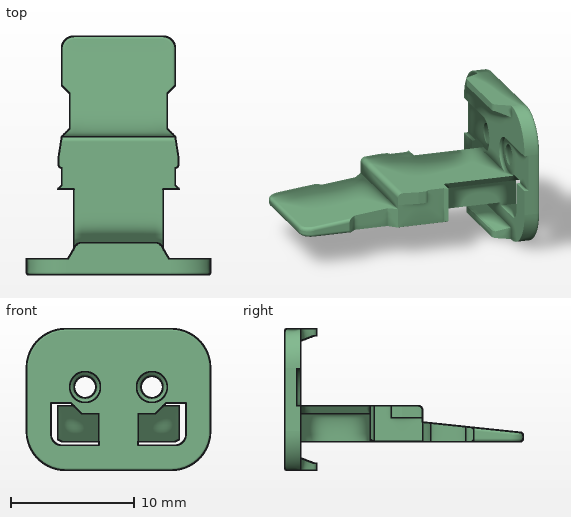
import cadquery as cq
import math

PLATE_WIDTH = 14.95
PLATE_HEIGHT = 11.5
PLATE_THICKNESS = 1.31
PLATE_CORNER_RADIUS = 3.2
PLATE_EDGE_RADIUS = 0.2

HOLE_X = 2.71
HOLE_Z = 1.01
HOLE_RADIUS = 0.87
COUNTERSINK_RADIUS = 1.25
COUNTERSINK_DEPTH = COUNTERSINK_RADIUS - HOLE_RADIUS
SLOT_RADIUS = 1.5
SLOT_DEPTH = 0.33

LUG_END_Y = 2.6
LUG_BASE_HALF_WIDTH = 4.1
LUG_SIDE_ANGLE = 30
LUG_CORNER_RADIUS = 0.6
LUG_TIP_HEIGHT = 0.58
LUG_ROOT_HEIGHT = 1.0
LUG_FLAT_LENGTH = 0.2

ARM_TOP_Z = HOLE_Z - SLOT_RADIUS
ARM_BOTTOM_Z = -3.43

FLANGE_HALF_WIDTH = 3.65
FLANGE_HEIGHT = 0.65
WEB_HALF_WIDTH = 1.6
FLANGE_UNDER_HALF_WIDTH = FLANGE_HALF_WIDTH - FLANGE_HEIGHT
FLANGE_UNDER_Z = ARM_TOP_Z - FLANGE_HEIGHT

WINDOW_TOP_Z = -0.3
WINDOW_BOTTOM_Z = -3.7
WINDOW_OUTER_X = 5.46
WINDOW_CORNER_RADIUS = 0.85

BLOCK_HALF_WIDTH = 4.62
BLOCK_START_Y = 6.94
BLOCK_END_Y = 11.19
BLOCK_TOP_EDGE_RADIUS = 0.4
BARB_REACH = 0.31
BARB_HALF_WIDTH = BLOCK_HALF_WIDTH + BARB_REACH
BARB_CHAMFER_WIDTH = 0.36
BARB_CHAMFER_HEIGHT = 0.18
RIDGE_HALF_WIDTH = 4.88
RIDGE_HEIGHT = 1.0
RIDGE_START_Y = 8.65
RIDGE_CREST_END_Y = 9.5
RIDGE_STEP_ANGLE = 15
RIDGE_CREST_RADIUS = 0.3

TONGUE_END_Y = 19.35
TONGUE_ROOT_Z = -1.83
TONGUE_TAPER_ANGLE = 6
NECK_HALF_WIDTH = 3.96
NECK_INSET = BLOCK_HALF_WIDTH - NECK_HALF_WIDTH
HEAD_START_Y = 15.35
HEAD_CORNER_RADIUS = 1.0
HEAD_EDGE_RADIUS = 0.27


def both_sides(solid):
    """The solid together with its mirror image across x = 0."""
    return solid.union(solid.mirror("YZ"))


def extrude_y(outline, start_y, end_y):
    """Closed (x, z) outline extruded from start_y to end_y."""
    plane = cq.Workplane("XZ", origin=(0, start_y, 0))
    return plane.polyline(outline).close().extrude(start_y - end_y)


def extrude_z(outline, bottom_z, top_z):
    """Closed (x, y) outline extruded from bottom_z to top_z."""
    plane = cq.Workplane("XY", origin=(0, 0, bottom_z))
    return plane.polyline(outline).close().extrude(top_z - bottom_z)


def mirrored_outline(right_side):
    """Outline made of the right-hand points and their mirror images."""
    return right_side + [(-x, v) for x, v in reversed(right_side)]


def make_plate():
    plate = cq.Workplane("XZ").rect(PLATE_WIDTH, PLATE_HEIGHT).extrude(-PLATE_THICKNESS)
    plate = plate.edges("|Y").fillet(PLATE_CORNER_RADIUS)
    return plate.faces("<Y").edges().fillet(PLATE_EDGE_RADIUS)


def make_top_lug():
    top_z = PLATE_HEIGHT / 2
    taper = (LUG_END_Y - PLATE_THICKNESS) * math.tan(math.radians(LUG_SIDE_ANGLE))
    plan = extrude_z(
        mirrored_outline([
            (LUG_BASE_HALF_WIDTH, PLATE_THICKNESS),
            (LUG_BASE_HALF_WIDTH - taper, LUG_END_Y),
        ]),
        top_z - LUG_ROOT_HEIGHT,
        top_z,
    )
    plan = plan.edges("|Z and >Y").fillet(LUG_CORNER_RADIUS)
    side_outline = [
        (PLATE_THICKNESS, top_z),
        (LUG_END_Y, top_z),
        (LUG_END_Y, top_z - LUG_TIP_HEIGHT),
        (LUG_END_Y - LUG_FLAT_LENGTH, top_z - LUG_TIP_HEIGHT),
        (PLATE_THICKNESS, top_z - LUG_ROOT_HEIGHT),
    ]
    side = cq.Workplane("YZ").polyline(side_outline).close()
    return plan.intersect(side.extrude(LUG_BASE_HALF_WIDTH, both=True))


def make_hole_cutter():
    """Right-hand countersunk hole with its back slot."""
    front = cq.Workplane("XZ").center(HOLE_X, HOLE_Z)
    hole = front.circle(HOLE_RADIUS).extrude(-PLATE_THICKNESS)
    countersink = (
        front.circle(COUNTERSINK_RADIUS)
        .workplane(offset=-COUNTERSINK_DEPTH)
        .circle(HOLE_RADIUS)
        .loft()
    )
    slot_floor = cq.Workplane("XZ", origin=(HOLE_X, PLATE_THICKNESS - SLOT_DEPTH, HOLE_Z))
    slot_end = slot_floor.circle(SLOT_RADIUS).extrude(-SLOT_DEPTH)
    slot_run = (
        slot_floor.center(PLATE_WIDTH / 4, 0)
        .rect(PLATE_WIDTH / 2, 2 * SLOT_RADIUS)
        .extrude(-SLOT_DEPTH)
    )
    return hole.union(countersink).union(slot_end).union(slot_run)


def make_window_cutter():
    """Right-hand window, with its inner edge along the shank section."""
    bevel_top_x = FLANGE_UNDER_HALF_WIDTH + WINDOW_TOP_Z - FLANGE_UNDER_Z
    outline = [
        (WEB_HALF_WIDTH, WINDOW_BOTTOM_Z),
        (WEB_HALF_WIDTH, FLANGE_UNDER_Z),
        (FLANGE_UNDER_HALF_WIDTH, FLANGE_UNDER_Z),
        (bevel_top_x, WINDOW_TOP_Z),
        (WINDOW_OUTER_X, WINDOW_TOP_Z),
        (WINDOW_OUTER_X, WINDOW_BOTTOM_Z),
    ]
    window = extrude_y(outline, 0, PLATE_THICKNESS)
    return window.edges("|Y and >X and <Z").fillet(WINDOW_CORNER_RADIUS)


def make_shank():
    section = mirrored_outline([
        (WEB_HALF_WIDTH, ARM_BOTTOM_Z),
        (WEB_HALF_WIDTH, FLANGE_UNDER_Z),
        (FLANGE_UNDER_HALF_WIDTH, FLANGE_UNDER_Z),
        (FLANGE_HALF_WIDTH, ARM_TOP_Z),
    ])
    return extrude_y(section, PLATE_THICKNESS / 2, BLOCK_START_Y)


def make_ridge():
    """Right-hand side ridge: a step up to the crest, then a slope back to the block."""
    step_rise = (RIDGE_HALF_WIDTH - BLOCK_HALF_WIDTH) * math.tan(math.radians(RIDGE_STEP_ANGLE))
    ridge = extrude_z(
        [
            (0, RIDGE_START_Y),
            (BLOCK_HALF_WIDTH, RIDGE_START_Y),
            (RIDGE_HALF_WIDTH, RIDGE_START_Y + step_rise),
            (RIDGE_HALF_WIDTH, RIDGE_CREST_END_Y),
            (BLOCK_HALF_WIDTH, BLOCK_END_Y),
            (0, BLOCK_END_Y),
        ],
        ARM_TOP_Z - RIDGE_HEIGHT,
        ARM_TOP_Z,
    )
    crest_corner = cq.selectors.NearestToPointSelector(
        (RIDGE_HALF_WIDTH, RIDGE_START_Y + step_rise, ARM_TOP_Z - RIDGE_HEIGHT / 2)
    )
    return ridge.edges("|Z").edges(crest_corner).fillet(RIDGE_CREST_RADIUS)


def make_block():
    body = extrude_z(
        mirrored_outline([
            (BARB_HALF_WIDTH, BLOCK_START_Y),
            (BLOCK_HALF_WIDTH, BLOCK_START_Y + BARB_REACH),
            (BLOCK_HALF_WIDTH, BLOCK_END_Y),
        ]),
        ARM_BOTTOM_Z,
        ARM_TOP_Z,
    )
    block = body.union(both_sides(make_ridge()))
    barb_chamfer = extrude_y(
        [
            (BARB_HALF_WIDTH, ARM_BOTTOM_Z),
            (BARB_HALF_WIDTH, ARM_BOTTOM_Z + BARB_CHAMFER_HEIGHT),
            (BARB_HALF_WIDTH - BARB_CHAMFER_WIDTH, ARM_BOTTOM_Z),
        ],
        BLOCK_START_Y,
        BLOCK_END_Y,
    )
    block = block.cut(both_sides(barb_chamfer))
    return block.faces(">Y").edges(">Z").fillet(BLOCK_TOP_EDGE_RADIUS)


def make_tongue():
    plan = extrude_z(
        mirrored_outline([
            (BLOCK_HALF_WIDTH, BLOCK_END_Y),
            (NECK_HALF_WIDTH, BLOCK_END_Y + NECK_INSET),
            (NECK_HALF_WIDTH, HEAD_START_Y - NECK_INSET),
            (BLOCK_HALF_WIDTH, HEAD_START_Y),
            (BLOCK_HALF_WIDTH, TONGUE_END_Y),
        ]),
        ARM_BOTTOM_Z,
        ARM_TOP_Z,
    )
    plan = plan.edges("|Z and >Y").fillet(HEAD_CORNER_RADIUS)
    drop = (TONGUE_END_Y - BLOCK_END_Y) * math.tan(math.radians(TONGUE_TAPER_ANGLE))
    side_outline = [
        (BLOCK_END_Y, ARM_BOTTOM_Z),
        (BLOCK_END_Y, TONGUE_ROOT_Z),
        (TONGUE_END_Y, TONGUE_ROOT_Z - drop),
        (TONGUE_END_Y, ARM_BOTTOM_Z),
    ]
    side = cq.Workplane("YZ").polyline(side_outline).close()
    tongue = plan.intersect(side.extrude(BLOCK_HALF_WIDTH, both=True))
    return tongue.faces(">Y").edges("|X").fillet(HEAD_EDGE_RADIUS)


plate = make_plate()
plate = plate.cut(both_sides(make_hole_cutter()))
plate = plate.cut(both_sides(make_window_cutter()))

top_lug = make_top_lug()
lugs = top_lug.union(top_lug.mirror("XY"))

result = plate.union(lugs).union(make_shank()).union(make_block()).union(make_tongue())